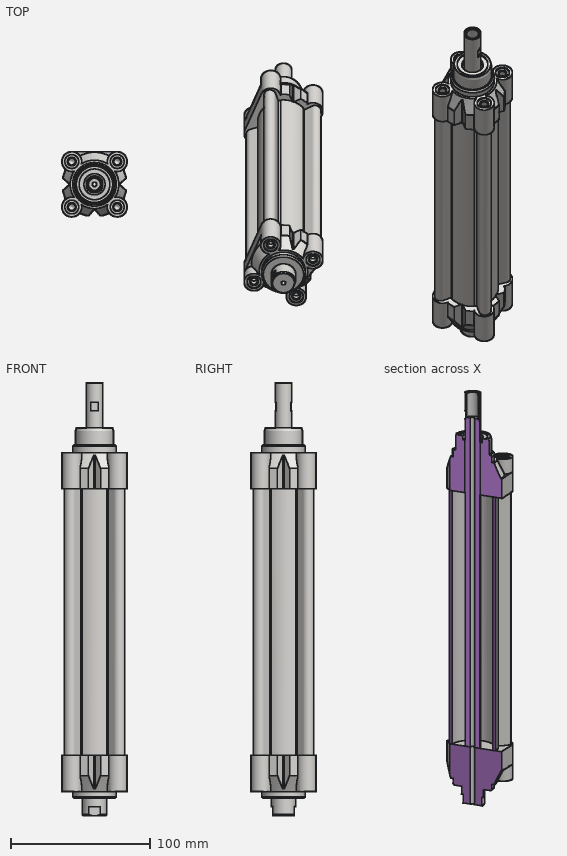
import cadquery as cq
import math

TOTAL_LENGTH = 311.0
SPIGOT_LENGTH = 12.5
RING_HEIGHT = 5.0
HEAD_HEIGHT = 26.0
FRONT_HEAD_TOP = 261.0
REAR_HEAD_BOTTOM = SPIGOT_LENGTH + RING_HEIGHT
REAR_HEAD_TOP = REAR_HEAD_BOTTOM + HEAD_HEIGHT
FRONT_HEAD_BOTTOM = FRONT_HEAD_TOP - HEAD_HEIGHT

HEAD_WIDTH = 47.0
COLUMN_DIAMETER = 14.3
COLUMN_OFFSET = (HEAD_WIDTH - COLUMN_DIAMETER) / 2
PAD_HEIGHT = 22.7
PAD_CREST_END = 5.3
PAD_EDGE_OFFSET = 10.3
PAD_EDGE_HEIGHT = 21.0
NOTCH_HALF_WIDTH = 4.5
NOTCH_ROOT_HEIGHT = 18.3
NOTCH_ROOT_HALF_WIDTH = 0.47
TAPER_TOP_RADIUS = 17.5
TAPER_BASE_RADIUS = 23.0
TAPER_LENGTH = 11.2

RECESS_DIAMETER = 10.0
RECESS_DEPTH = 1.0
SCREW_HOLE_DIAMETER = 5.0
SCREW_HOLE_MOUTH_DIAMETER = 6.2
SCREW_HOLE_DEPTH = 6.2
DRILL_POINT_ANGLE = 118.0

RING_DIAMETER = 31.5
RING_CHAMFER = 1.2
COLLAR_DIAMETER = 27.5
COLLAR_BOTTOM = 266.5
COLLAR_TOP = 278.5
COLLAR_TAPER_HEIGHT = 2.2
COLLAR_TAPER_WIDTH = 0.5
COLLAR_RECESS_DIAMETER = 22.0
COLLAR_RECESS_DEPTH = 0.5
WIPER_DIAMETER = 15.2
WIPER_DEPTH = 3.0

SPIGOT_DIAMETER = 17.7
SPIGOT_CHAMFER = 1.0
SPIGOT_FLATS_WIDTH = 15.5
SPIGOT_FLATS_HEIGHT = 6.5

BARREL_TUBE_DIAMETER = 37.3
BORE_DIAMETER = 32.0
RIB_RADIUS = 4.5
RIB_CENTRE_OFFSET = 17.5
RIB_EDGE_OFFSET = 14.3
GROOVE_ROOT_OFFSET = 10.0
GROOVE_ROOT_HEIGHT = 15.2
TUBE_EDGE_OFFSET = 8.7

ROD_DIAMETER = 12.0
ROD_FLATS_WIDTH = 11.0
ROD_FLATS_BOTTOM = 290.7
ROD_FLATS_HEIGHT = 6.2
ROD_BORE_DIAMETER = 8.7
ROD_BORE_DEPTH = 18.5
ROD_BORE_MOUTH_DIAMETER = 10.0
AIR_HOLE_DIAMETER = 3.0


def cylinder(diameter, bottom, top):
    """A round bar on the Z axis between two levels."""
    return cq.Workplane("XY").workplane(offset=bottom).circle(diameter / 2).extrude(top - bottom)


def cone(bottom_diameter, top_diameter, bottom, top):
    """A truncated cone on the Z axis between two levels."""
    return cq.Workplane("XY").add(
        cq.Solid.makeCone(
            bottom_diameter / 2, top_diameter / 2, top - bottom, pnt=cq.Vector(0, 0, bottom)
        )
    )


def opposed_flats(width, bottom, height):
    """Two cutting blocks that leave a given width between flats facing -Y and +Y."""
    block = cq.Workplane("XY").box(HEAD_WIDTH, HEAD_WIDTH, height, centered=(True, True, False))
    slab = cq.Workplane("XY").box(HEAD_WIDTH, width, height, centered=(True, True, False))
    return block.cut(slab).translate((0, 0, bottom))


def pad_outline():
    """Notched side pads on -X, -Y and +X and a plain square side on +Y."""
    crests = [
        (-PAD_EDGE_OFFSET, COLUMN_OFFSET),
        (-PAD_EDGE_OFFSET, PAD_EDGE_HEIGHT),
        (-PAD_CREST_END, PAD_HEIGHT),
        (-NOTCH_HALF_WIDTH, PAD_HEIGHT),
        (-NOTCH_ROOT_HALF_WIDTH, NOTCH_ROOT_HEIGHT),
        (NOTCH_ROOT_HALF_WIDTH, NOTCH_ROOT_HEIGHT),
        (NOTCH_HALF_WIDTH, PAD_HEIGHT),
        (PAD_CREST_END, PAD_HEIGHT),
        (PAD_EDGE_OFFSET, PAD_EDGE_HEIGHT),
        (PAD_EDGE_OFFSET, COLUMN_OFFSET),
    ]
    back = HEAD_WIDTH / 2
    points = [(COLUMN_OFFSET, back), (-COLUMN_OFFSET, back), (-COLUMN_OFFSET, COLUMN_OFFSET)]
    points += [(-out, along) for along, out in reversed(crests)]
    points += [(-COLUMN_OFFSET, -COLUMN_OFFSET)]
    points += [(along, -out) for along, out in crests]
    points += [(COLUMN_OFFSET, -COLUMN_OFFSET)]
    points += [(out, along) for along, out in crests]
    points += [(COLUMN_OFFSET, COLUMN_OFFSET)]
    return points


def column_positions():
    """Centres of the four corner columns."""
    return [(sx * COLUMN_OFFSET, sy * COLUMN_OFFSET) for sx in (-1, 1) for sy in (-1, 1)]


def screw_recess():
    """A shallow recess with a countersunk, cone-ended hole, sunk from the outer head face."""
    radius = SCREW_HOLE_DIAMETER / 2
    point = radius / math.tan(math.radians(DRILL_POINT_ANGLE / 2))
    hole_bottom = HEAD_HEIGHT - SCREW_HOLE_DEPTH
    floor = HEAD_HEIGHT - RECESS_DEPTH
    mouth_bottom = floor - (SCREW_HOLE_MOUTH_DIAMETER - SCREW_HOLE_DIAMETER) / 2
    recess = cylinder(RECESS_DIAMETER, floor, HEAD_HEIGHT)
    mouth = cone(SCREW_HOLE_DIAMETER, SCREW_HOLE_MOUTH_DIAMETER, mouth_bottom, floor)
    hole = cylinder(SCREW_HOLE_DIAMETER, hole_bottom, HEAD_HEIGHT)
    tip = cone(0, SCREW_HOLE_DIAMETER, hole_bottom - point, hole_bottom)
    return recess.union(mouth).union(hole).union(tip)


def head_block():
    """A head with its barrel face at Z = 0 and its outer face at Z = HEAD_HEIGHT."""
    core = cq.Workplane("XY").polyline(pad_outline()).close().extrude(HEAD_HEIGHT)
    taper_start = HEAD_HEIGHT - TAPER_LENGTH
    clearance_diameter = 2 * HEAD_WIDTH
    envelope = cylinder(clearance_diameter, 0, taper_start).union(
        cone(2 * TAPER_BASE_RADIUS, 2 * TAPER_TOP_RADIUS, taper_start, HEAD_HEIGHT)
    )
    block = core.intersect(envelope)
    columns = (
        cq.Workplane("XY")
        .pushPoints(column_positions())
        .circle(COLUMN_DIAMETER / 2)
        .extrude(HEAD_HEIGHT)
    )
    block = block.union(columns)
    for x, y in column_positions():
        block = block.cut(screw_recess().translate((x, y, 0)))
    return block


def make_front_head():
    """The head the rod passes through, with its ring and collar."""
    ring = cylinder(RING_DIAMETER, FRONT_HEAD_TOP, COLLAR_BOTTOM)
    ring = ring.faces(">Z").chamfer(RING_CHAMFER)
    taper_bottom = COLLAR_TOP - COLLAR_TAPER_HEIGHT
    collar = cylinder(COLLAR_DIAMETER, COLLAR_BOTTOM, taper_bottom)
    collar_tip = cone(
        COLLAR_DIAMETER, COLLAR_DIAMETER - 2 * COLLAR_TAPER_WIDTH, taper_bottom, COLLAR_TOP
    )
    block = head_block().translate((0, 0, FRONT_HEAD_BOTTOM))
    head = block.union(ring).union(collar).union(collar_tip)
    recess_floor = COLLAR_TOP - COLLAR_RECESS_DEPTH
    head = head.cut(cylinder(COLLAR_RECESS_DIAMETER, recess_floor, COLLAR_TOP))
    head = head.cut(cylinder(WIPER_DIAMETER, recess_floor - WIPER_DEPTH, COLLAR_TOP))
    return head.cut(cylinder(ROD_DIAMETER, FRONT_HEAD_BOTTOM, COLLAR_TOP))


def make_rear_head():
    """The closed head, with its ring and flatted spigot."""
    block = head_block().mirror("XY").translate((0, 0, REAR_HEAD_TOP))
    ring = cylinder(RING_DIAMETER, SPIGOT_LENGTH, REAR_HEAD_BOTTOM).faces("<Z").chamfer(RING_CHAMFER)
    spigot = cylinder(SPIGOT_DIAMETER, 0, SPIGOT_LENGTH).faces("<Z").chamfer(SPIGOT_CHAMFER)
    spigot = spigot.cut(opposed_flats(SPIGOT_FLATS_WIDTH, 0, SPIGOT_FLATS_HEIGHT))
    head = block.union(ring).union(spigot)
    return head.cut(cylinder(AIR_HOLE_DIAMETER, 0, REAR_HEAD_TOP))


def turned(point, quarter):
    """A point turned about the axis by a number of quarter turns."""
    angle = math.radians(90 * quarter)
    x, y = point
    return (x * math.cos(angle) - y * math.sin(angle), x * math.sin(angle) + y * math.cos(angle))


def barrel_outline():
    """A round tube with four round corner ribs, each set off by a groove on both sides."""
    tube_radius = BARREL_TUBE_DIAMETER / 2
    tube_edge = math.sqrt(tube_radius ** 2 - TUBE_EDGE_OFFSET ** 2)
    rib_edge = RIB_CENTRE_OFFSET + math.sqrt(RIB_RADIUS ** 2 - (RIB_CENTRE_OFFSET - RIB_EDGE_OFFSET) ** 2)
    rib_crown = RIB_CENTRE_OFFSET + RIB_RADIUS / math.sqrt(2)
    outline = cq.Workplane("XY").moveTo(tube_edge, -TUBE_EDGE_OFFSET)
    for quarter in range(4):
        outline = outline.threePointArc(
            turned((tube_radius, 0), quarter), turned((tube_edge, TUBE_EDGE_OFFSET), quarter)
        )
        outline = outline.lineTo(*turned((GROOVE_ROOT_HEIGHT, GROOVE_ROOT_OFFSET), quarter))
        outline = outline.lineTo(*turned((rib_edge, RIB_EDGE_OFFSET), quarter))
        outline = outline.threePointArc(
            turned((rib_crown, rib_crown), quarter), turned((RIB_EDGE_OFFSET, rib_edge), quarter)
        )
        outline = outline.lineTo(*turned((GROOVE_ROOT_OFFSET, GROOVE_ROOT_HEIGHT), quarter))
        outline = outline.lineTo(*turned((TUBE_EDGE_OFFSET, tube_edge), quarter))
    return outline.close()


def make_barrel():
    """The bored profile tube between the heads."""
    length = FRONT_HEAD_BOTTOM - REAR_HEAD_TOP
    barrel = barrel_outline().extrude(length).cut(cylinder(BORE_DIAMETER, 0, length))
    return barrel.translate((0, 0, REAR_HEAD_TOP))


def make_rod():
    """The piston rod, with flats near its bored tip and an air hole along its axis."""
    rod = cylinder(ROD_DIAMETER, REAR_HEAD_TOP, TOTAL_LENGTH)
    rod = rod.cut(opposed_flats(ROD_FLATS_WIDTH, ROD_FLATS_BOTTOM, ROD_FLATS_HEIGHT))
    rod = rod.cut(cylinder(ROD_BORE_DIAMETER, TOTAL_LENGTH - ROD_BORE_DEPTH, TOTAL_LENGTH))
    mouth_depth = (ROD_BORE_MOUTH_DIAMETER - ROD_BORE_DIAMETER) / 2
    rod = rod.cut(
        cone(ROD_BORE_DIAMETER, ROD_BORE_MOUTH_DIAMETER, TOTAL_LENGTH - mouth_depth, TOTAL_LENGTH)
    )
    return rod.cut(cylinder(AIR_HOLE_DIAMETER, REAR_HEAD_TOP, TOTAL_LENGTH))


front_head = make_front_head()
rear_head = make_rear_head()
barrel = make_barrel()
rod = make_rod()

result = cq.Compound.makeCompound([front_head.val(), rear_head.val(), barrel.val(), rod.val()])